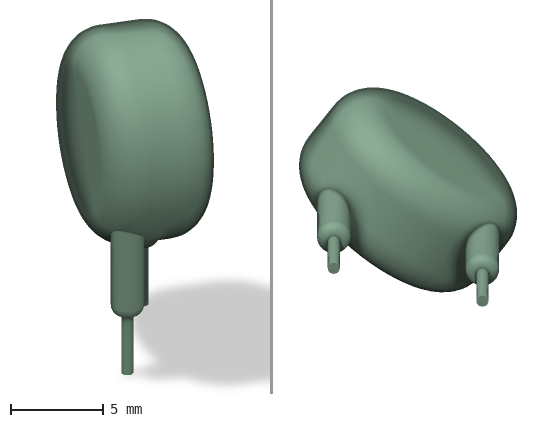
import cadquery as cq

disc_diameter = 12.0
disc_thickness = 6.3
disc_edge_radius = 2.0

sleeve_diameter = 1.8
sleeve_bottom_radius = 0.58
sleeve_bottom_z = -8.98
lead_diameter = 0.65
overall_height = 18.6
lead_length_difference = 0.05

leg_offset_x = 3.81
leg_offset_y = 1.6

long_lead_bottom_z = disc_diameter / 2 - overall_height
short_lead_bottom_z = long_lead_bottom_z + lead_length_difference

legs = [
    (-leg_offset_x, leg_offset_y, long_lead_bottom_z),
    (leg_offset_x, -leg_offset_y, short_lead_bottom_z),
]


def make_disc():
    """Round disc with fully rounded front and back rims."""
    return (
        cq.Workplane("XZ", origin=(0, disc_thickness / 2, 0))
        .circle(disc_diameter / 2)
        .extrude(disc_thickness)
        .edges("%CIRCLE")
        .fillet(disc_edge_radius)
    )


def make_rod(x, y, bottom_z, diameter):
    """Upright rod from bottom_z up to the height of the disc centre."""
    return (
        cq.Workplane("XY", origin=(x, y, bottom_z))
        .circle(diameter / 2)
        .extrude(-bottom_z)
    )


def make_lead(x, y, bottom_z, disc):
    """Wire that ends on the disc surface."""
    return make_rod(x, y, bottom_z, lead_diameter).cut(disc)


def make_sleeve(x, y, disc, lead):
    """Sleeve with a rounded lower rim, fitted to the disc and bored for its lead."""
    sleeve = make_rod(x, y, sleeve_bottom_z, sleeve_diameter)
    sleeve = sleeve.faces("<Z").edges().fillet(sleeve_bottom_radius)
    return sleeve.cut(disc).cut(lead)


disc = make_disc()
leads = []
sleeves = []
for x, y, lead_bottom_z in legs:
    lead = make_lead(x, y, lead_bottom_z, disc)
    leads.append(lead.val())
    sleeves.append(make_sleeve(x, y, disc, lead).val())

result = cq.Compound.makeCompound([disc.val(), *sleeves, *leads])